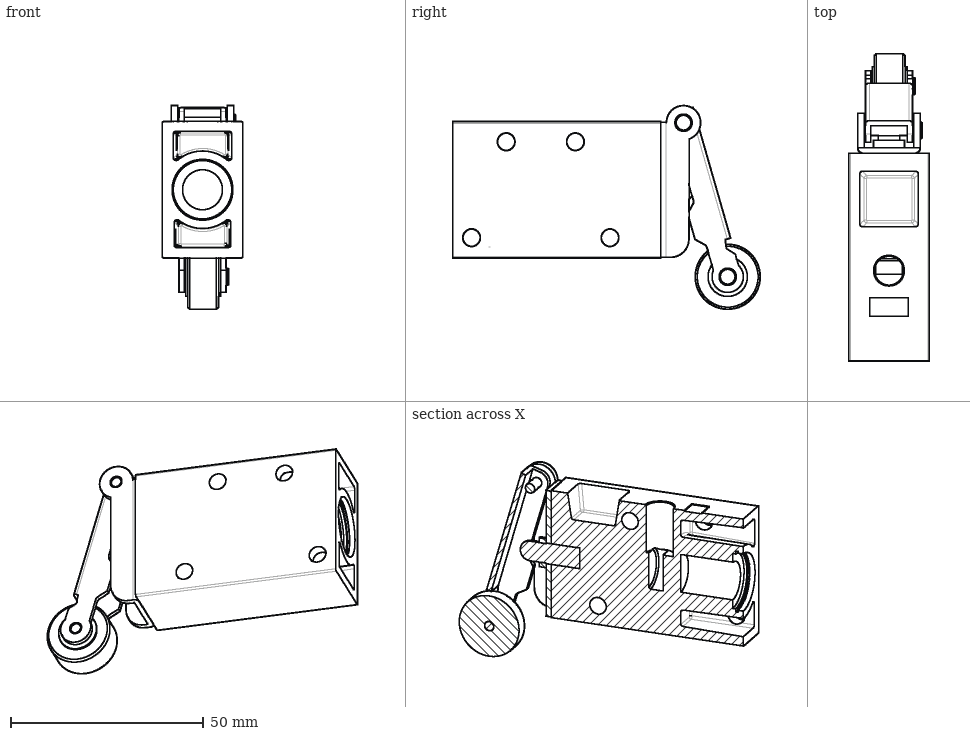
import cadquery as cq
import math

overall_length = 79.95
pivot_y = 5.9
pivot_z = 17.4
lever_length = 41.65
lever_lean = 16.0
roller_radius = 8.5

axle_y = pivot_y + lever_length * math.sin(math.radians(lever_lean))
axle_z = pivot_z - lever_length * math.cos(math.radians(lever_lean))

housing_width = 21.0
housing_height = 35.5
housing_length = overall_length - axle_y - roller_radius
housing_edge_radius = 0.5
housing_top = housing_height / 2
rear_face_y = -housing_length

bore_radius = 5.2
bore_depth = 17.6
seat_radius = 7.9
seat_depth = 1.5
ring_groove_radius = 8.4
ring_groove_depth = 2.15
inner_seat_radius = 7.6
inner_seat_depth = 2.95

mount_hole_radius = 2.2
mount_hole_z = 12.5
mount_pattern_y = -31.2
upper_mount_spacing = 18.0
lower_mount_spacing = 36.0

top_pocket_width = 15.2
top_pocket_length = 14.4
top_pocket_y = -11.9
top_pocket_depth = 7.2
top_pocket_draft = 9.0
pocket_corner_radius = 0.7
pocket_floor_radius = 0.55

end_pocket_depth = 17.6
upper_pocket_half_width = 7.6
upper_pocket_outer_z = 15.2
lower_pocket_half_width = 7.35
lower_pocket_outer_z = 15.0
pocket_inner_radius = 10.1
end_pocket_side_draft = 1.1
end_pocket_outer_draft = 0.4
end_pocket_inner_draft = 0.15

port_radius = 3.75
port_y = -30.55
port_floor_z = 4.4
port_chamfer = 0.2
chamber_radius = 5.6
chamber_front_y = -27.5
chamber_rear_y = -31.5
chamber_chamfer = 0.5

label_width = 10.0
label_length = 4.9
label_depth = 0.2
label_y = -40.0

bracket_half_width = 8.15
bracket_wall = 1.75
bracket_base = 1.4
bracket_bend_radius = 1.35
bracket_half_height = 17.6
bracket_arm_depth = 7.35
bracket_eye_radius = 4.5
bracket_corner_radius = 4.8

lever_half_width = 6.15
lever_wall = 1.4
lever_bend_radius = 0.95
lever_web = 3.5
lever_back = 3.1
lever_lobe = 5.5
lobe_start = 20.6
lobe_end = 30.0
lobe_root_radius = 1.2
web_end = 32.2
neck_bottom = 34.55
neck_end = 36.55
neck_depth = 1.7
neck_radius = 0.8
lever_tip_radius = 4.1

pin_radius = 1.35
pin_hole_chamfer = 0.2
pin_head_radius = 2.2
pin_head_chamfer = 0.3
pivot_head_height = 0.5
axle_head_height = 0.7

roller_width = 8.1
roller_chamfer = 0.55
hub_radius = 5.1
hub_width = 9.1
roller_x = lever_half_width - lever_wall - hub_width / 2

plunger_radius = 2.8
plunger_depth = 8.0
collar_radius = 4.1
collar_end_y = 3.35

pick_margin = 0.1


def x_cylinder(radius, x_start, x_end, y, z):
    """Cylinder along X."""
    plane = cq.Workplane("YZ", origin=(x_start, 0, 0))
    return plane.center(y, z).circle(radius).extrude(x_end - x_start)


def pin_hole(half_length, y, z):
    """Cutter for a pin hole along X, countersunk at its -X end."""
    sink = cq.Workplane("YZ", origin=(-half_length, 0, 0)).center(y, z)
    sink = sink.circle(pin_radius + pin_hole_chamfer).extrude(pin_hole_chamfer, taper=45)
    return sink.union(x_cylinder(pin_radius, -half_length, half_length, y, z))


def y_cylinder(radius, y_start, y_end):
    """Cylinder on the bore axis, running from y_start towards +Y."""
    plane = cq.Workplane("XZ", origin=(0, y_end, 0))
    return plane.circle(radius).extrude(y_end - y_start)


def end_pocket(half_width, outer_z):
    """Tapered pocket in the rear face, with a side that curves round the bore."""

    def outline(plane, half, outer, inner):
        corner_z = math.sqrt(inner**2 - half**2)
        return (
            plane.moveTo(-half, corner_z)
            .lineTo(-half, outer)
            .lineTo(half, outer)
            .lineTo(half, corner_z)
            .threePointArc((0, inner), (-half, corner_z))
            .close()
        )

    mouth = outline(
        cq.Workplane("XZ", origin=(0, rear_face_y, 0)), half_width, outer_z, pocket_inner_radius
    )
    pocket = outline(
        mouth.workplane(offset=-end_pocket_depth),
        half_width - end_pocket_side_draft,
        outer_z - end_pocket_outer_draft,
        pocket_inner_radius + end_pocket_inner_draft,
    ).loft(ruled=True)
    pocket = pocket.edges("not (<Y or >Y)").fillet(pocket_corner_radius)
    return pocket.faces(">Y").edges().fillet(pocket_floor_radius)


def top_pocket():
    """Tapered pocket in the top face."""
    pocket = (
        cq.Workplane("XY", origin=(0, top_pocket_y, housing_top))
        .rect(top_pocket_width, top_pocket_length)
        .extrude(-top_pocket_depth, taper=top_pocket_draft)
    )
    pocket = pocket.edges("not (<Z or >Z)").fillet(pocket_corner_radius)
    return pocket.faces("<Z").edges().fillet(pocket_floor_radius)


def mount_holes():
    """Two rows of cross holes through the housing."""
    holes = cq.Workplane("YZ", origin=(-housing_width / 2, 0, 0))
    rows = [(upper_mount_spacing, mount_hole_z), (lower_mount_spacing, -mount_hole_z)]
    centres = [(mount_pattern_y + side * spacing / 2, z) for spacing, z in rows for side in (-1, 1)]
    return holes.pushPoints(centres).circle(mount_hole_radius).extrude(housing_width)


def outlet_port():
    """Flat-bottomed port opening into a round chamber on the bore axis."""
    port = (
        cq.Workplane("XY", origin=(0, port_y, port_floor_z))
        .circle(port_radius)
        .extrude(housing_top - port_floor_z)
    )
    rim = cq.Solid.makeCone(port_radius, port_radius + port_chamfer, port_chamfer)
    port = port.union(cq.Workplane(rim.translate(cq.Vector(0, port_y, housing_top - port_chamfer))))
    chamber = y_cylinder(chamber_radius, chamber_rear_y, chamber_front_y)
    return port.union(chamber.faces(">Y").chamfer(chamber_chamfer))


def rear_bore():
    """Stepped bore in the rear face, with a ring groove between its two seats."""
    steps = [
        (bore_radius, 0, bore_depth),
        (inner_seat_radius, 0, inner_seat_depth),
        (ring_groove_radius, seat_depth, ring_groove_depth),
        (seat_radius, 0, seat_depth),
    ]
    bore = cq.Workplane("XY")
    for radius, start, end in steps:
        bore = bore.union(y_cylinder(radius, rear_face_y + start, rear_face_y + end))
    return bore


def make_housing():
    """Valve block with its bore, pockets, port and cross holes."""
    body = cq.Workplane("XY").box(housing_width, housing_length, housing_height)
    body = body.translate((0, rear_face_y / 2, 0)).edges("|Y").fillet(housing_edge_radius)
    body = body.cut(rear_bore())
    body = body.cut(end_pocket(upper_pocket_half_width, upper_pocket_outer_z))
    lower_pocket = end_pocket(lower_pocket_half_width, lower_pocket_outer_z)
    body = body.cut(lower_pocket.rotate((0, 0, 0), (0, 1, 0), 180))
    body = body.cut(top_pocket()).cut(outlet_port()).cut(mount_holes())
    body = body.cut(y_cylinder(plunger_radius, -plunger_depth, 0))
    label = cq.Workplane("XY").box(label_width, label_length, 2 * label_depth)
    return body.cut(label.translate((0, label_y, housing_top)))


def make_bracket():
    """U-shaped frame: a base plate on the housing and two arms with pivot eyes."""
    width = 2 * bracket_half_width
    inner_width = width - 2 * bracket_wall
    height = 2 * bracket_half_height
    block = cq.Workplane("XY").box(width, bracket_arm_depth, height)
    block = block.translate((0, bracket_arm_depth / 2, 0))
    block = block.edges("|X and >Y and <Z").fillet(bracket_corner_radius)
    eye = x_cylinder(bracket_eye_radius, -bracket_half_width, bracket_half_width, pivot_y, pivot_z)
    above_pivot = (
        cq.Workplane("XY")
        .box(width, bracket_arm_depth, bracket_half_height)
        .translate((0, bracket_base + bracket_arm_depth / 2, pivot_z + bracket_half_height / 2))
    )
    frame = block.cut(above_pivot).union(eye)
    frame = frame.edges("|Z and <Y").fillet(bracket_bend_radius)
    channel = (
        cq.Workplane("XY")
        .box(inner_width, 2 * bracket_arm_depth, 2 * height)
        .translate((0, bracket_base + bracket_arm_depth, 0))
    )
    frame = frame.cut(channel).cut(y_cylinder(plunger_radius, 0, bracket_base))
    return frame.cut(pin_hole(bracket_half_width, pivot_y, pivot_z))


def make_lever():
    """Folded U-section lever, shaped upright with its pivot at the origin, then leaned over."""
    diagonal = math.sqrt(0.5)
    tip_back_z = -lever_length + math.sqrt(lever_tip_radius**2 - lever_back**2)
    tip_front_z = -lever_length + math.sqrt(lever_tip_radius**2 - lever_web**2)
    lobe_rise = lever_lobe - lever_back
    web_inner = lever_web - lever_wall
    body = (
        cq.Workplane("YZ")
        .moveTo(lever_web, -web_end)
        .lineTo(lever_web, lever_back)
        .lineTo(0, lever_back)
        .threePointArc((-lever_back * diagonal, lever_back * diagonal), (-lever_back, 0))
        .lineTo(-lever_back, -lobe_start)
        .lineTo(-lever_lobe, -lobe_start - lobe_rise)
        .lineTo(-lever_lobe, -lobe_end)
        .lineTo(-lever_back, -lobe_end - lobe_rise)
        .lineTo(-lever_back, tip_back_z)
        .threePointArc((0, -lever_length - lever_tip_radius), (lever_web, tip_front_z))
        .lineTo(lever_web, -neck_end)
        .lineTo(neck_depth, -neck_bottom)
        .lineTo(web_inner, -web_end)
        .close()
        .extrude(lever_half_width, both=True)
    )
    lobe_roots = cq.selectors.BoxSelector(
        (-0.8, -lever_back - pick_margin, -lobe_end - lobe_rise - pick_margin),
        (0.8, -lever_back + pick_margin, -lobe_start + pick_margin),
    )
    body = body.edges("|X").edges(lobe_roots).fillet(lobe_root_radius)
    neck_root = cq.selectors.NearestToPointSelector((0, neck_depth, -neck_bottom))
    body = body.edges("|X").edges(neck_root).fillet(neck_radius)
    web_edges = cq.selectors.BoxSelector(
        (-2 * lever_half_width, lever_web - pick_margin, -web_end),
        (2 * lever_half_width, lever_web + pick_margin, 0),
    )
    body = body.edges("|Z").edges(web_edges).fillet(lever_bend_radius)
    inner_width = 2 * (lever_half_width - lever_wall)
    reach = 2 * lever_length
    channel = cq.Workplane("XY").box(inner_width, reach, 2 * reach)
    body = body.cut(channel.translate((0, web_inner - reach / 2, 0)))
    fork = cq.Workplane("XY").box(inner_width, reach, reach)
    body = body.cut(fork.translate((0, 0, -web_end - reach / 2)))
    for hole_z in (0, -lever_length):
        body = body.cut(pin_hole(lever_half_width, 0, hole_z))
    return body.rotate((0, 0, 0), (1, 0, 0), lever_lean).translate((0, pivot_y, pivot_z))


def make_pin(half_length, head_height, y, z):
    """Pin along X: flush at -X, with a chamfered head outside at +X."""
    shank = x_cylinder(pin_radius, -half_length, half_length, y, z)
    head = x_cylinder(pin_head_radius, half_length, half_length + head_height, y, z)
    return shank.union(head.faces(">X").chamfer(pin_head_chamfer))


def make_roller():
    """Chamfered roller with a wider hub, bored for the axle pin."""
    half_width = roller_width / 2
    half_hub = hub_width / 2
    tread = x_cylinder(roller_radius, -half_width, half_width, axle_y, axle_z)
    tread = tread.faces("<X or >X").chamfer(roller_chamfer)
    roller = tread.union(x_cylinder(hub_radius, -half_hub, half_hub, axle_y, axle_z))
    roller = roller.cut(x_cylinder(pin_radius, -half_hub, half_hub, axle_y, axle_z))
    return roller.translate((roller_x, 0, 0))


def make_plunger():
    """Round plunger whose domed tip is centred level with the pivot."""
    stem = y_cylinder(plunger_radius, -plunger_depth, pivot_y)
    dome = cq.Workplane("XY").sphere(plunger_radius).translate((0, pivot_y, 0))
    return stem.union(dome)


def make_collar():
    """Ring round the plunger, resting on the bracket base."""
    ring = y_cylinder(collar_radius, bracket_base, collar_end_y)
    return ring.cut(y_cylinder(plunger_radius, bracket_base, collar_end_y))


housing = make_housing()
bracket = make_bracket()
lever = make_lever()
pivot_pin = make_pin(bracket_half_width, pivot_head_height, pivot_y, pivot_z)
axle_pin = make_pin(lever_half_width, axle_head_height, axle_y, axle_z)
roller = make_roller()
plunger = make_plunger()
collar = make_collar()

bodies = [housing, bracket, lever, pivot_pin, axle_pin, roller, plunger, collar]
result = cq.Compound.makeCompound([body.val() for body in bodies])